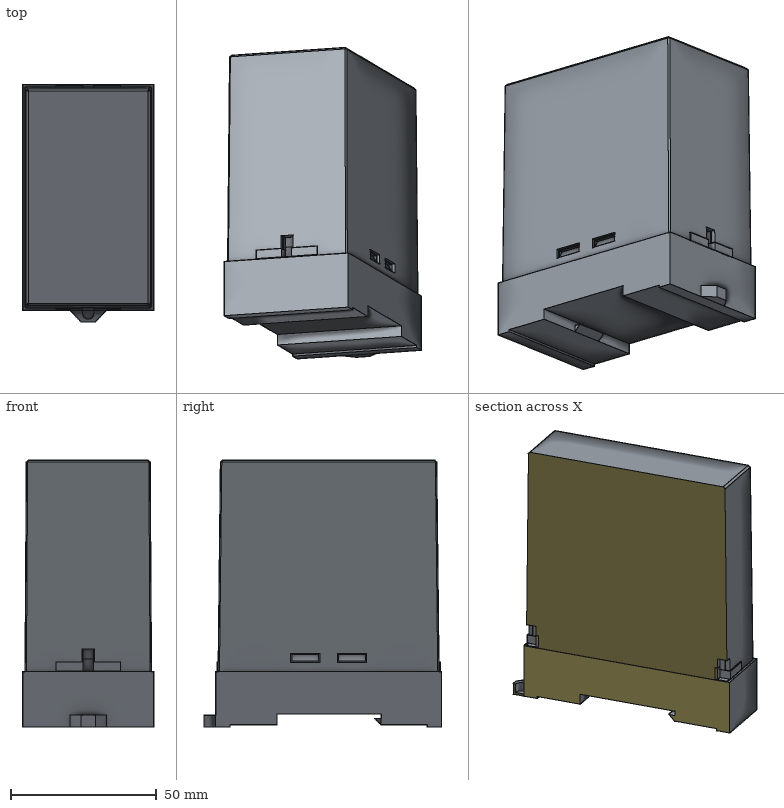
import cadquery as cq
import math


base_width = 45.0
base_length = 77.5
base_height = 19.0
rail_slot_length = 35.6
rail_slot_height = 4.45
rail_slot_center_y = 0.2
foot_pad_length = 5.0
foot_pad_height = 0.75
rail_hook_width = 12.5
rail_hook_top = 3.0

overall_height = 91.5
cover_bottom_inset_x = 0.8
cover_bottom_inset_y = 0.85
cover_top_inset_x = 1.25
cover_top_inset_y = 1.65
cover_corner_chamfer = 0.5
cover_top_chamfer = 0.7

window_length = 10.0
window_height = 3.2
window_bottom = base_height + 3.1
window_center_y = 8.0
window_depth = 1.0
window_rim = 0.4
window_sill = 0.5
window_slope = 60.0

latch_width = 22.0
latch_height = 3.0
latch_bottom = base_height + 0.3
latch_top = latch_bottom + latch_height
latch_inset = 0.45
latch_depth = 5.0
notch_width = 3.5
notch_depth = 4.0
tongue_top = base_height + 4.4
slot_top = base_height + 7.8
slot_mouth_width = 4.3
slot_mouth_depth = 2.0

clip_root_width = 12.5
clip_tip_width = 4.8
clip_reach = 4.0
clip_height = 4.1
clip_eye_radius = 1.9
clip_eye_reach = 3.0
clip_eye_floor = 1.0

half_width = base_width / 2
half_length = base_length / 2
latch_face_y = -half_length + latch_inset
notch_back_y = latch_face_y + notch_depth


def box(x_size, y_start, y_end, z_start, z_end):
    """A block centred on X between the given Y and Z limits."""
    return (
        cq.Workplane("XY", origin=(0, (y_start + y_end) / 2, z_start))
        .rect(x_size, y_end - y_start)
        .extrude(z_end - z_start)
    )


def at_both_ends(shape):
    """The shape at the -Y end and its copy turned to the +Y end."""
    return [shape, shape.rotate((0, 0, 0), (0, 0, 1), 180)]


def make_base():
    slot_front = rail_slot_center_y - rail_slot_length / 2
    slot_back = rail_slot_center_y + rail_slot_length / 2
    pad_edge = half_length - foot_pad_length
    body = box(base_width, -half_length, half_length, 0, base_height)
    body = body.cut(box(base_width, -pad_edge, pad_edge, 0, foot_pad_height))
    body = body.cut(box(base_width, slot_front, slot_back, 0, rail_slot_height))

    hook_reach = rail_hook_top - foot_pad_height
    hook = (
        cq.Workplane("YZ")
        .moveTo(slot_back, foot_pad_height)
        .lineTo(slot_back, rail_hook_top)
        .lineTo(slot_back - hook_reach, rail_hook_top)
        .close()
        .extrude(rail_hook_width / 2, both=True)
    )
    return body.union(hook)


def make_cover_shell():
    """Drafted block with chamfered upright edges and top rim."""
    return (
        cq.Workplane("XY", origin=(0, 0, base_height))
        .rect(base_width - 2 * cover_bottom_inset_x, base_length - 2 * cover_bottom_inset_y)
        .workplane(offset=overall_height - base_height)
        .rect(base_width - 2 * cover_top_inset_x, base_length - 2 * cover_top_inset_y)
        .loft(ruled=True)
        .edges("not(#Z)").edges("not(|X or |Y)")
        .chamfer(cover_corner_chamfer)
        .faces(">Z").edges()
        .chamfer(cover_top_chamfer)
    )


def make_window_pocket():
    """Pocket in the -X side whose back holds a smaller recess sloping inward and up."""
    back_x = -half_width + cover_bottom_inset_x + window_depth
    pocket = (
        cq.Workplane("XY", origin=((back_x - half_width) / 2, 0, window_bottom))
        .rect(back_x + half_width, window_length)
        .extrude(window_height)
    )
    recess_bottom = window_bottom + window_sill
    recess_top = window_bottom + window_height - window_rim
    recess_depth = (recess_top - recess_bottom) / math.tan(math.radians(window_slope))
    recess = (
        cq.Workplane("XZ")
        .moveTo(back_x, recess_bottom)
        .lineTo(back_x + recess_depth, recess_top)
        .lineTo(back_x, recess_top)
        .close()
        .extrude(window_length / 2 - window_rim, both=True)
    )
    return pocket.union(recess)


def make_latch():
    """Notched bar with a tongue standing behind the notch, at the -Y end."""
    back_y = latch_face_y + latch_depth
    bar = box(latch_width, latch_face_y, back_y, latch_bottom, latch_top)
    notch = box(notch_width, latch_face_y, notch_back_y, latch_bottom, latch_top)
    tongue = box(notch_width, notch_back_y, back_y, latch_bottom, tongue_top)
    return bar.cut(notch).union(tongue)


def make_latch_slot():
    """Upright slot above the notch, wider at its mouth, at the -Y end."""
    mouth_back_y = latch_face_y + slot_mouth_depth
    slot = box(notch_width, -half_length, notch_back_y, latch_bottom, slot_top)
    mouth = box(slot_mouth_width, -half_length, mouth_back_y, latch_top, slot_top)
    return slot.union(mouth)


def make_cover():
    body = make_cover_shell()
    for center_y in (-window_center_y, window_center_y):
        for pocket in at_both_ends(make_window_pocket().translate((0, center_y, 0))):
            body = body.cut(pocket)
    for cutter in at_both_ends(make_latch_slot()) + at_both_ends(make_latch()):
        body = body.cut(cutter)
    return body


def make_clip():
    """Tapered finger tab on the -Y face of the base, with a U-shaped blind eye."""
    tip_y = -half_length - clip_reach
    tab = (
        cq.Workplane("XY")
        .moveTo(-clip_root_width / 2, -half_length)
        .lineTo(-clip_tip_width / 2, tip_y)
        .lineTo(clip_tip_width / 2, tip_y)
        .lineTo(clip_root_width / 2, -half_length)
        .close()
        .extrude(clip_height)
    )
    eye_end_y = -half_length - clip_eye_reach
    eye_center_y = eye_end_y + clip_eye_radius
    eye = (
        cq.Workplane("XY", origin=(0, 0, clip_eye_floor))
        .moveTo(-clip_eye_radius, -half_length)
        .lineTo(-clip_eye_radius, eye_center_y)
        .threePointArc((0, eye_end_y), (clip_eye_radius, eye_center_y))
        .lineTo(clip_eye_radius, -half_length)
        .close()
        .extrude(clip_height - clip_eye_floor)
    )
    return tab.cut(eye)


base = make_base()
cover = make_cover()
clip = make_clip()
latches = at_both_ends(make_latch())

result = cq.Compound.makeCompound(
    [base.val(), cover.val(), clip.val(), *[latch.val() for latch in latches]]
)